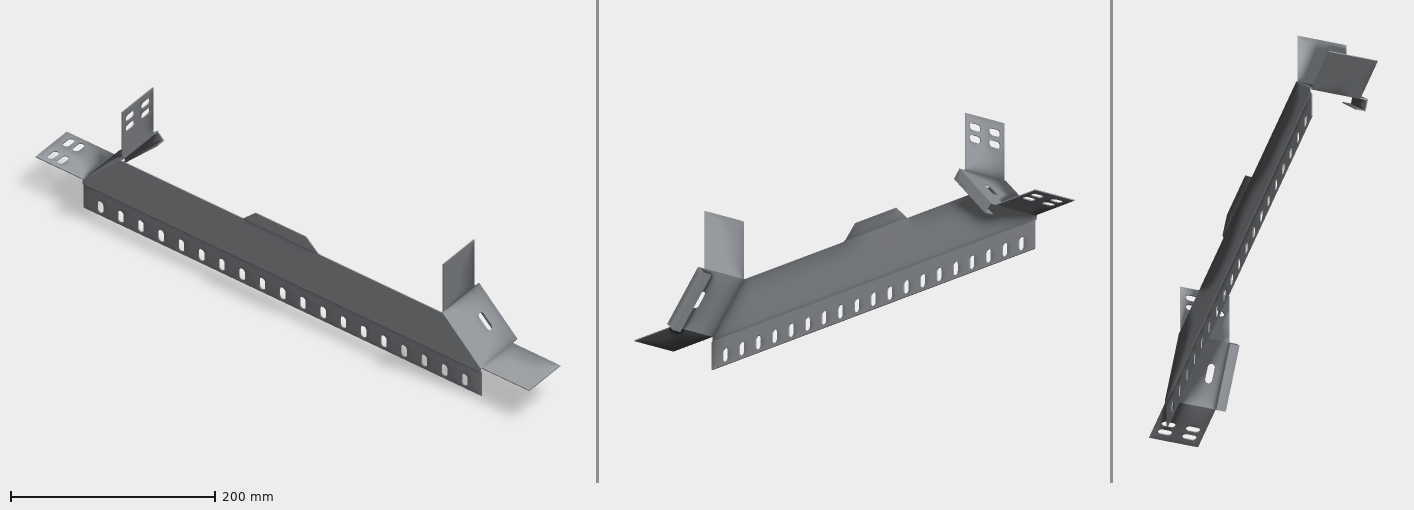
import cadquery as cq
import math

length = 610.0
depth = 61.0
height = 141.5
sheet = 1.1
step_depth = 1.5
step_height = 2.0

flange_top = 28.5
wall_top = 82.0
tab_top = 97.5
tab_base_half = 48.0
tab_top_half = 31.0
wall_front = step_depth
flange_front = 2 * step_depth

leg_level = 35.5
head_level = 82.5
plate_rise = head_level - leg_level
foot_x = 246.0
head_x = foot_x - plate_rise
wall_top_half = foot_x - (wall_top - leg_level)
leg_front = flange_front
leg_rear = 53.0
leg_mid = (leg_front + leg_rear) / 2
lip_depth = 12.0
lip_return = 10.0

hole_pitch = 25.0
slot_length = 14.0
slot_width = 7.5
flange_slot_count = 19
flange_slot_z = 10.5
leg_slot_edge = 12.0
leg_slot_spacing = 12.0
plate_slot_length = 19.5
plate_slot_y = 40.0


def extrude_xz(points, front, rear):
    """Prism with an outline of (x, z) points, between two y positions."""
    return cq.Workplane("XZ", origin=(0, front, 0)).polyline(points).close().extrude(front - rear)


def front_sheet():
    """Stepped sheet cut to the outline of the flange, wall and centre tab."""
    front_face = [
        (flange_front, 0),
        (flange_front, flange_top),
        (wall_front, flange_top + step_height),
        (wall_front, wall_top),
        (0, wall_top + step_height),
        (0, tab_top),
    ]
    rear_face = [(y + sheet, z) for y, z in reversed(front_face)]
    stepped = cq.Workplane("YZ").polyline(front_face + rear_face).close().extrude(foot_x, both=True)
    right_edge = [
        (foot_x, 0),
        (foot_x, leg_level),
        (wall_top_half, wall_top),
        (tab_base_half, wall_top),
        (tab_top_half, tab_top),
    ]
    left_edge = [(-x, z) for x, z in reversed(right_edge)]
    return stepped.intersect(extrude_xz(right_edge + left_edge, 0, depth))


def sloped_strip(near, far, front, rear):
    """Strip along the left sloped plate, between two distances below its outer face."""
    def shifted(x, z, distance):
        shift = distance * math.sqrt(0.5)
        return (x + shift, z - shift)

    foot = (-foot_x, leg_level)
    head = (-head_x, head_level)
    corners = [shifted(*foot, near), shifted(*head, near), shifted(*head, far), shifted(*foot, far)]
    return extrude_xz(corners, front, rear)


def left_end():
    """Left end sheet, without slots."""
    miter = sheet * math.tan(math.radians(22.5))
    outer_foot = (-foot_x, leg_level)
    outer_head = (-head_x, head_level)
    inner_foot = (-foot_x + miter, leg_level - sheet)
    inner_head = (-head_x + sheet, head_level - miter)
    bent_sheet = [
        (-length / 2, leg_level),
        outer_foot,
        outer_head,
        (-head_x, height),
        (-head_x + sheet, height),
        inner_head,
        inner_foot,
        (-length / 2, leg_level - sheet),
    ]
    legs = extrude_xz(bent_sheet, leg_front, leg_rear)
    plate = extrude_xz([outer_foot, outer_head, inner_head, inner_foot], wall_front, depth)
    lip = sloped_strip(0, lip_depth, depth - sheet, depth)
    returned_edge = sloped_strip(lip_depth - sheet, lip_depth, depth - lip_return, depth)
    return legs.union(plate).union(lip).union(returned_edge)


def flange_slots():
    """Row of upright slots through the front flange."""
    return (
        cq.Workplane("XZ", origin=(0, 0, flange_slot_z))
        .rarray(hole_pitch, 6, flange_slot_count, 1)
        .slot2D(slot_length, slot_width, 90)
        .extrude(-leg_mid)
    )


def plate_slot(side):
    """Slot through a sloped plate, along its slope; side is -1 for left and 1 for right."""
    middle_x = side * (foot_x + head_x) / 2
    middle_z = (leg_level + head_level) / 2
    plane = cq.Plane(
        origin=(middle_x, plate_slot_y, middle_z),
        xDir=(-side, 0, 1),
        normal=(side, 0, 1),
    )
    return cq.Workplane(plane).slot2D(plate_slot_length, slot_width).extrude(2 * sheet, both=True)


def leg_slots():
    """Two by two slots through each leg of the left end only."""
    slot_middle = leg_slot_edge + leg_slot_spacing / 2
    horizontal = (
        cq.Workplane("XY", origin=(-length / 2 + slot_middle, leg_mid, leg_level))
        .rarray(leg_slot_spacing, hole_pitch, 2, 2)
        .slot2D(slot_length, slot_width, 90)
        .extrude(2 * sheet, both=True)
    )
    upright = (
        cq.Workplane("YZ", origin=(-head_x, leg_mid, height - slot_middle))
        .rarray(hole_pitch, leg_slot_spacing, 2, 2)
        .slot2D(slot_length, slot_width)
        .extrude(2 * sheet, both=True)
    )
    return horizontal.union(upright)


left_sheet = left_end()
right_sheet = left_sheet.mirror("YZ")
result = front_sheet().union(left_sheet).union(right_sheet)
result = result.cut(flange_slots()).cut(leg_slots())
for side in (-1, 1):
    result = result.cut(plate_slot(side))